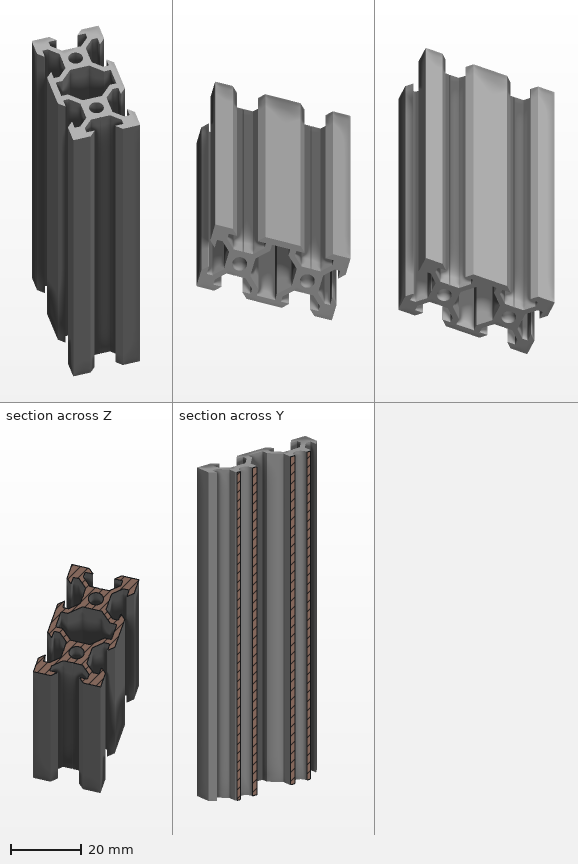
import cadquery as cq
import math

LENGTH = 100.0
MODULE = 20.0
MODULE_COUNT = 2
BORE_DIAMETER = 4.2
CORE_WIDTH = 7.8
WEB_THICKNESS = 1.5
WALL = 1.8
SLOT_MOUTH = 9.6
SLOT_THROAT = 6.2
SLOT_CHANNEL = 11.0
NOTCH_DEPTH = 0.2
CORNER_RADIUS = 0.2

WIDTH = MODULE * MODULE_COUNT
HALF_MODULE = MODULE / 2
HALF_CORE = CORE_WIDTH / 2
LIP_SLOPE_DEPTH = (SLOT_MOUTH - SLOT_THROAT) / 2
WEB_OFFSET = WEB_THICKNESS / math.sqrt(2)


def reflected(points):
    """Points mirrored across the Y axis, in reverse order to close an outline."""
    return [(-x, y) for x, y in reversed(points)]


def prism(outline):
    return cq.Workplane("XY").polyline(outline).close().extrude(LENGTH)


def slot_cutter(centre_x, angle):
    """V-slot opening toward +Y of a cell, turned about the cell centre."""
    lip_back = HALF_MODULE - WALL
    half_outline = [
        (SLOT_MOUTH / 2, HALF_MODULE),
        (SLOT_THROAT / 2, HALF_MODULE - LIP_SLOPE_DEPTH),
        (SLOT_THROAT / 2, lip_back),
        (SLOT_CHANNEL / 2, lip_back),
        (SLOT_CHANNEL / 2, SLOT_CHANNEL / 2 + WEB_OFFSET),
        (HALF_CORE - WEB_OFFSET, HALF_CORE),
        (NOTCH_DEPTH, HALF_CORE),
    ]
    notch_bottom = (0, HALF_CORE - NOTCH_DEPTH)
    outline = half_outline + [notch_bottom] + reflected(half_outline)
    return prism(outline).rotate((0, 0, 0), (0, 0, 1), angle).translate((centre_x, 0, 0))


def bore_cutter(centre_x):
    return cq.Workplane("XY").center(centre_x, 0).circle(BORE_DIAMETER / 2).extrude(LENGTH)


def cavity_cutter():
    """Closed chamber between the two cores."""
    half_width = HALF_MODULE - SLOT_CHANNEL / 2 - WALL
    half_height = HALF_MODULE - WALL
    core_face = HALF_MODULE - HALF_CORE
    upper_right = [
        (core_face, HALF_CORE - WEB_OFFSET),
        (half_width, HALF_MODULE - half_width - WEB_OFFSET),
        (half_width, half_height),
    ]
    right_side = [(x, -y) for x, y in reversed(upper_right)] + upper_right
    return prism(right_side + reflected(right_side))


def make_extrusion():
    """Twin-cell V-slot profile standing along Z."""
    body = cq.Workplane("XY").rect(WIDTH, MODULE).extrude(LENGTH)
    body = body.edges("|Z").fillet(CORNER_RADIUS)
    for centre_x, end_angle in ((-HALF_MODULE, 90), (HALF_MODULE, -90)):
        for angle in (0, 180, end_angle):
            body = body.cut(slot_cutter(centre_x, angle))
        body = body.cut(bore_cutter(centre_x))
    return body.cut(cavity_cutter())


extrusion = make_extrusion()
result = cq.Compound.makeCompound([extrusion.val()])